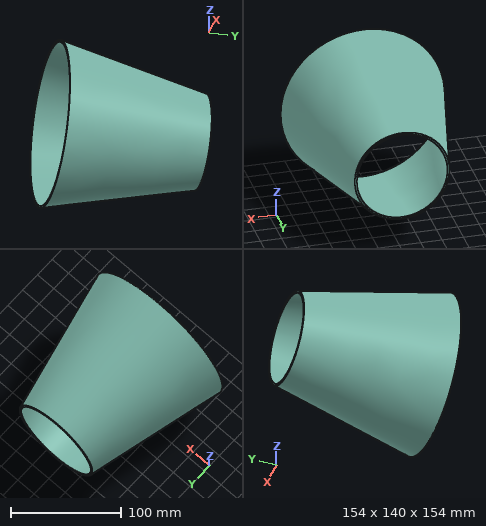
import cadquery as cq

large_outer_diameter = 154.0
small_outer_diameter = 88.9
wall_thickness = 2.0
length = 140.0


def cone_frustum(large_diameter, small_diameter):
    """Solid frustum with its large end at Y = 0 and its small end at Y = length."""
    half_profile = (
        cq.Workplane("XY")
        .lineTo(large_diameter / 2, 0)
        .lineTo(small_diameter / 2, length)
        .lineTo(0, length)
        .close()
    )
    return half_profile.revolve(360, (0, 0, 0), (0, 1, 0))


outer_cone = cone_frustum(large_outer_diameter, small_outer_diameter)
inner_cone = cone_frustum(
    large_outer_diameter - 2 * wall_thickness,
    small_outer_diameter - 2 * wall_thickness,
)

result = outer_cone.cut(inner_cone)